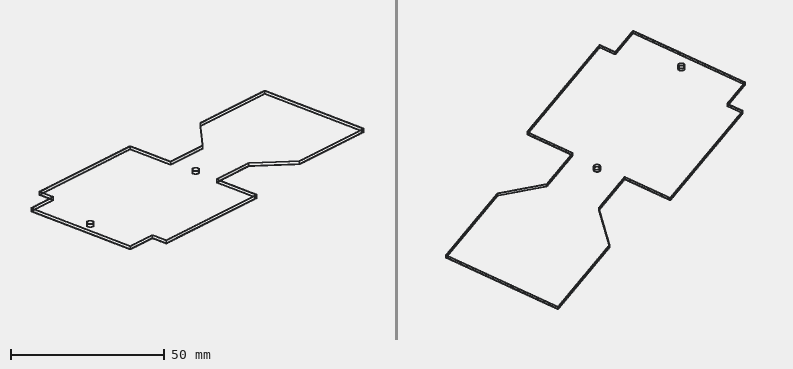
import cadquery as cq

length = 116.0
body_width = 55.0
thickness = 1.2

end_width = 43.0
neck_width = 20.0

tab_length = 11.0
body_length = 45.0
neck_length = 16.0
taper_length = 12.0

hole_diameter = 2.3
front_hole_y = 4.8
rear_hole_offset = 1.0

body_front = tab_length
body_rear = body_front + body_length
neck_rear = body_rear + neck_length
panel_front = neck_rear + taper_length

right_side = [
    (end_width / 2, 0),
    (end_width / 2, body_front),
    (body_width / 2, body_front),
    (body_width / 2, body_rear),
    (neck_width / 2, body_rear),
    (neck_width / 2, neck_rear),
    (end_width / 2, panel_front),
    (end_width / 2, length),
]
left_side = [(-x, y) for x, y in reversed(right_side)]

plate = cq.Workplane("XY").polyline(right_side + left_side).close().extrude(thickness)

hole_centres = [(0, front_hole_y), (0, body_rear + rear_hole_offset)]
holes = cq.Workplane("XY").pushPoints(hole_centres).circle(hole_diameter / 2).extrude(thickness)

result = plate.cut(holes)